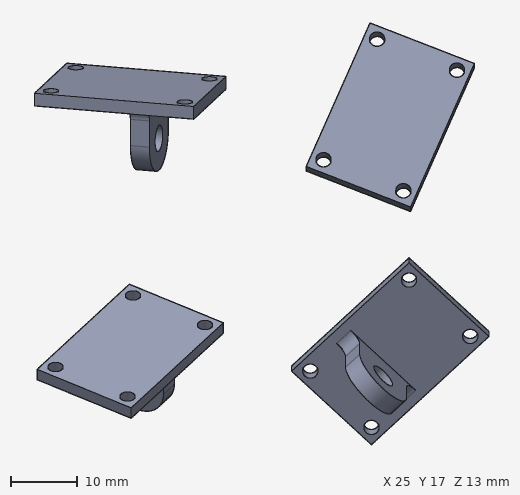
import cadquery as cq

plate_length = 25.0
plate_width = 17.0
plate_thickness = 2.0

screw_hole_diameter = 2.3
screw_hole_inset = 2.0

lug_thickness = 3.0
lug_center_x = 3.0
lug_width = 10.0
lug_end_radius = lug_width / 2
pivot_depth = 8.0
pivot_hole_diameter = 4.0
root_fillet_radius = 1.9

plate_bottom_z = -plate_thickness
pivot_z = -pivot_depth


def make_plate():
    """Rectangular plate with a through hole near each corner."""
    plate = cq.Workplane("XY", origin=(0, 0, plate_bottom_z)).rect(plate_length, plate_width)
    plate = plate.extrude(plate_thickness)
    hole_spacing_x = plate_length - 2 * screw_hole_inset
    hole_spacing_y = plate_width - 2 * screw_hole_inset
    return (
        plate.faces(">Z")
        .workplane()
        .rect(hole_spacing_x, hole_spacing_y, forConstruction=True)
        .vertices()
        .hole(screw_hole_diameter)
    )


def make_lug():
    """Lug with flared root fillets, a half-round end and a pivot hole."""
    half_width = lug_width / 2
    root_half_width = half_width + root_fillet_radius
    fillet_end_z = plate_bottom_z - root_fillet_radius
    lug_start_x = lug_center_x - lug_thickness / 2
    lug_plane = cq.Workplane("YZ", origin=(lug_start_x, 0, 0))
    lug = (
        lug_plane.moveTo(-root_half_width, plate_bottom_z)
        .radiusArc((-half_width, fillet_end_z), root_fillet_radius)
        .lineTo(-half_width, pivot_z)
        .threePointArc((0, pivot_z - lug_end_radius), (half_width, pivot_z))
        .lineTo(half_width, fillet_end_z)
        .radiusArc((root_half_width, plate_bottom_z), root_fillet_radius)
        .close()
        .extrude(lug_thickness)
    )
    pivot_hole = lug_plane.center(0, pivot_z).circle(pivot_hole_diameter / 2).extrude(lug_thickness)
    return lug.cut(pivot_hole)


result = make_plate().union(make_lug())